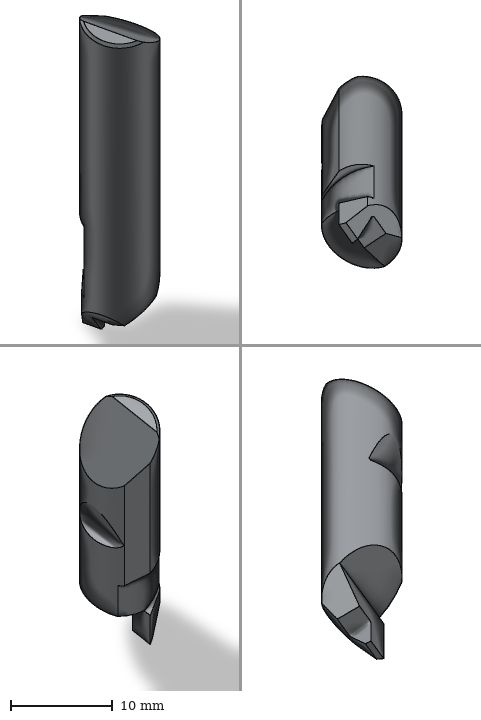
import cadquery as cq
import math

length = 50.8
radius = 3.95
reach = 2 * length
top_chamfer = 0.3

top_land_y = -2.25

flat_end_y = 2.7
flat_end_x = -math.sqrt(radius**2 - flat_end_y**2)

relief_bottom = 7.7
relief_top = 19.1
relief_crown_x = -3.2
relief_half_width = 3.125
relief_edge_x = -math.sqrt(radius**2 - relief_half_width**2)

notch_bottom = 29.25
notch_top = 38.0
notch_floor_y = 2.75
notch_fillet = 0.75

rake_height = 7.8
clearance_height = 7.1
tip_thickness = 0.65
tip_right_x = -1.65
step_height = 4.25
step_right_x = 0.4
step_fillet = 0.3
side_draft = 5.0
end_relief = 0.15


def across_x(points):
    """Prism along the whole X direction from a (Y, Z) outline."""
    return cq.Workplane("YZ").polyline(points).close().extrude(reach, both=True)


def across_y(points):
    """Prism along the whole Y direction from an (X, Z) outline."""
    return cq.Workplane("XZ").polyline(points).close().extrude(reach, both=True)


def side_flat(side, bottom, top):
    """Material outside the side chord, toward +Y (side = 1) or -Y (side = -1)."""
    outline = [
        (-radius, 0),
        (flat_end_x, side * flat_end_y),
        (flat_end_x - radius, side * flat_end_y),
    ]
    return cq.Workplane("XY").workplane(offset=bottom).polyline(outline).close().extrude(top - bottom)


def side_relief():
    return (
        cq.Workplane("XY")
        .workplane(offset=relief_bottom)
        .moveTo(relief_edge_x, -relief_half_width)
        .threePointArc((relief_crown_x, 0), (relief_edge_x, relief_half_width))
        .lineTo(-2 * radius, relief_half_width)
        .lineTo(-2 * radius, -relief_half_width)
        .close()
        .extrude(relief_top - relief_bottom)
    )


def top_slope():
    return across_x([
        (top_land_y, length),
        (top_land_y + reach, length - reach),
        (top_land_y + reach, length),
    ])


def back_notch():
    notch_slope = (notch_top - notch_bottom - notch_fillet) / (radius - notch_floor_y)
    outer_y = 2 * radius
    outer_z = notch_top + notch_slope * (outer_y - radius)
    corner_z = notch_bottom + notch_fillet
    diagonal = notch_fillet * math.sqrt(0.5)
    return (
        cq.Workplane("YZ")
        .moveTo(outer_y, outer_z)
        .lineTo(notch_floor_y, corner_z)
        .threePointArc(
            (notch_floor_y + notch_fillet - diagonal, corner_z - diagonal),
            (notch_floor_y + notch_fillet, notch_bottom),
        )
        .lineTo(outer_y, notch_bottom)
        .close()
        .extrude(reach, both=True)
    )


def rake_cut():
    """Leaves a flat rake face at Y = 0, rising at 45 degrees into the bar."""
    return across_x([
        (0, -reach),
        (0, rake_height),
        (reach, rake_height + reach),
        (reach, -reach),
    ])


def front_clearance():
    """Sloped clearance on the front of the tip, with a slightly relieved end."""
    slope = (clearance_height - end_relief) / (radius - tip_thickness)
    return across_x([
        (0, 0),
        (-tip_thickness, end_relief),
        (-2 * radius, end_relief + slope * (2 * radius - tip_thickness)),
        (-2 * radius, -radius),
        (0, -radius),
    ])


def step_cut():
    """Open step to the right of the tip, ending in a 45 degree slope."""
    rise = 2 * radius - step_right_x
    return across_y([
        (tip_right_x, -radius),
        (tip_right_x, step_height),
        (step_right_x, step_height),
        (step_right_x + rise, step_height + rise),
        (step_right_x + rise, -radius),
    ])


def side_clearance():
    """Wedge that narrows the tip from the rake face toward the front."""
    outline = [
        (tip_right_x, 0),
        (tip_right_x - radius * math.tan(math.radians(side_draft)), -radius),
        (tip_right_x, -radius),
    ]
    return cq.Workplane("XY").polyline(outline).close().extrude(step_height)


bar = cq.Workplane("XY").circle(radius).extrude(length).faces(">Z").chamfer(top_chamfer)

tool = (
    bar.cut(top_slope())
    .cut(side_flat(1, 0, length))
    .cut(side_flat(-1, 0, relief_bottom))
    .cut(side_relief())
    .cut(back_notch())
    .cut(rake_cut())
    .cut(front_clearance())
    .cut(step_cut())
    .cut(side_clearance())
)

corner_middle_y = -radius / 3
inner_corner = cq.selectors.NearestToPointSelector((tip_right_x, corner_middle_y, step_height))
result = tool.edges(inner_corner).fillet(step_fillet)